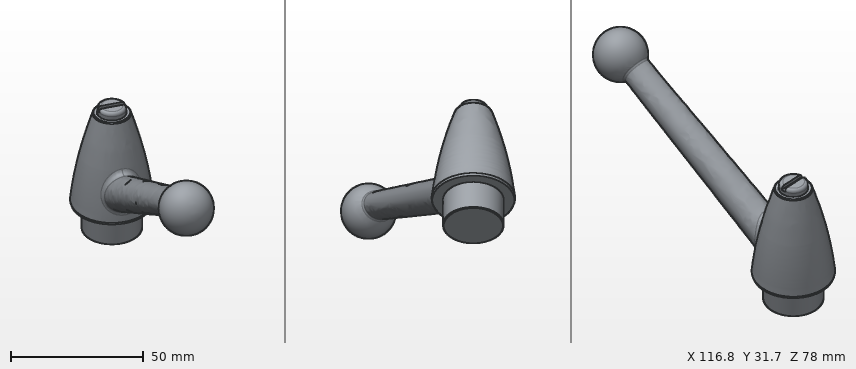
import cadquery as cq
import math

overall_length = 116.8
overall_height = 78.0

stub_diameter = 23.0
stub_chamfer = 0.4
body_bottom = 12.0
body_top = 52.8
body_diameter = 31.7
body_radius = body_diameter / 2
rim_height = 1.0
rim_inset = 0.4
side_mid_diameter = 24.4
side_mid_height = 34.7
shoulder_diameter = 14.6
top_edge_diameter = 13.8
top_edge_drop = 0.5

screw_diameter = 11.0
clearance_diameter = 11.2
clearance_depth = 1.2
screw_top = 56.0
screw_round = 1.4
slot_width = 1.8
slot_depth = 1.5

ball_radius = 10.5
ball_x = overall_length - body_radius - ball_radius
ball_z = overall_height - ball_radius

arm_angle = 30.3
arm_axis_height = 16.6
arm_start_x = 4.7
arm_end_x = 85.3
arm_start_half_width = 7.5
arm_start_half_height = 7.2
arm_end_half_width = 6.1
arm_end_half_height = 5.3
hub_blend = 2.1
ball_blend = 1.2

hub_joint_x = 14.0
ball_joint_x = 81.2


def make_hub():
    """Stub and barrelled body as one revolved profile."""
    stub_radius = stub_diameter / 2
    profile = (
        cq.Workplane("XZ")
        .lineTo(stub_radius - stub_chamfer, 0)
        .lineTo(stub_radius, stub_chamfer)
        .lineTo(stub_radius, body_bottom)
        .lineTo(body_radius - rim_inset, body_bottom)
        .lineTo(body_radius, body_bottom + rim_height)
        .threePointArc(
            (side_mid_diameter / 2, side_mid_height),
            (shoulder_diameter / 2, body_top - top_edge_drop),
        )
        .lineTo(top_edge_diameter / 2, body_top)
        .lineTo(0, body_top)
        .close()
    )
    return profile.revolve(360, (0, 0, 0), (0, 1, 0))


def point_on_arm(x):
    """Point on the sloping arm axis at a given X."""
    return (x, 0, arm_axis_height + x * math.tan(math.radians(arm_angle)))


def make_arm():
    """Lofted arm between two ellipses square to the sloping axis."""
    slope = math.radians(arm_angle)
    length = (arm_end_x - arm_start_x) / math.cos(slope)
    start = point_on_arm(arm_start_x)
    section_plane = cq.Plane(origin=start, xDir=(0, 1, 0), normal=(math.cos(slope), 0, math.sin(slope)))
    return (
        cq.Workplane(section_plane)
        .ellipse(arm_start_half_width, arm_start_half_height)
        .workplane(offset=length)
        .ellipse(arm_end_half_width, arm_end_half_height)
        .loft()
    )


def joint_edge(body, near_point):
    """The edge whose centre lies closest to a point."""
    target = cq.Vector(*near_point)
    return min(body.edges().vals(), key=lambda edge: (edge.Center() - target).Length)


def blend_joint(body, near_point, radius):
    """Round the joint curve closest to a point."""
    return body.newObject([joint_edge(body, near_point)]).fillet(radius)


def make_screw():
    """Slotted screw head with a rounded top, rooted at the clearance floor."""
    root = body_top - clearance_depth
    screw = (
        cq.Workplane("XY", origin=(0, 0, root))
        .circle(screw_diameter / 2)
        .extrude(screw_top - root)
        .faces(">Z")
        .edges()
        .fillet(screw_round)
    )
    slot = (
        cq.Workplane("XY", origin=(0, 0, screw_top - slot_depth))
        .rect(slot_width, 2 * screw_diameter)
        .extrude(slot_depth)
    )
    return screw.cut(slot)


ball = cq.Workplane("XY").sphere(ball_radius).translate((ball_x, 0, ball_z))
handle = make_hub().union(make_arm())
handle = blend_joint(handle, point_on_arm(hub_joint_x), hub_blend)
handle = handle.union(ball)
handle = blend_joint(handle, point_on_arm(ball_joint_x), ball_blend)

clearance = (
    cq.Workplane("XY", origin=(0, 0, body_top - clearance_depth))
    .circle(clearance_diameter / 2)
    .extrude(clearance_depth)
)
result = handle.cut(clearance).union(make_screw())